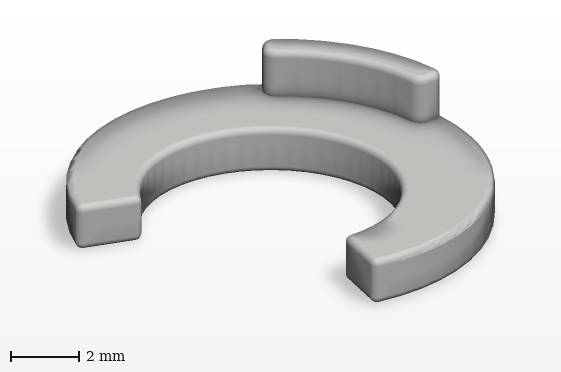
import cadquery as cq
import math

outer_radius = 6.3
hole_radius = 3.85
hole_offset_y = -0.75
ring_thickness = 1.44
total_height = 2.9
edge_radius = 0.2
mouth_half_angle = 48.3

tab_width = 1.01
tab_half_angle = 27.7
tab_corner_radius = 0.38


def polar(radius, angle_from_y):
    """Point at a radius and a clockwise angle from +Y."""
    angle = math.radians(angle_from_y)
    return (radius * math.sin(angle), radius * math.cos(angle))


def make_ring():
    """Open ring with an eccentric hole, rounded along all its edges."""
    disc = cq.Workplane("XY").circle(outer_radius).extrude(ring_thickness)
    hole = cq.Workplane("XY").center(0, hole_offset_y).circle(hole_radius).extrude(ring_thickness)
    wedge_length = 2 * outer_radius
    mouth = (
        cq.Workplane("XY")
        .moveTo(0, 0)
        .lineTo(*polar(wedge_length, 180 - mouth_half_angle))
        .lineTo(*polar(wedge_length, 180 + mouth_half_angle))
        .close()
        .extrude(ring_thickness)
    )
    return disc.cut(hole).cut(mouth).edges().fillet(edge_radius)


def make_tab():
    """Curved upright tab, flush with the rim of the ring."""
    inner_radius = outer_radius - tab_width
    root_height = ring_thickness / 2
    blank = (
        cq.Workplane("XY")
        .workplane(offset=root_height)
        .moveTo(*polar(outer_radius, -tab_half_angle))
        .threePointArc((0, outer_radius), polar(outer_radius, tab_half_angle))
        .lineTo(*polar(inner_radius, tab_half_angle))
        .threePointArc((0, inner_radius), polar(inner_radius, -tab_half_angle))
        .close()
        .extrude(total_height - root_height)
    )
    return blank.edges("|Z").fillet(tab_corner_radius).faces(">Z").edges().fillet(edge_radius)


result = make_ring().union(make_tab())